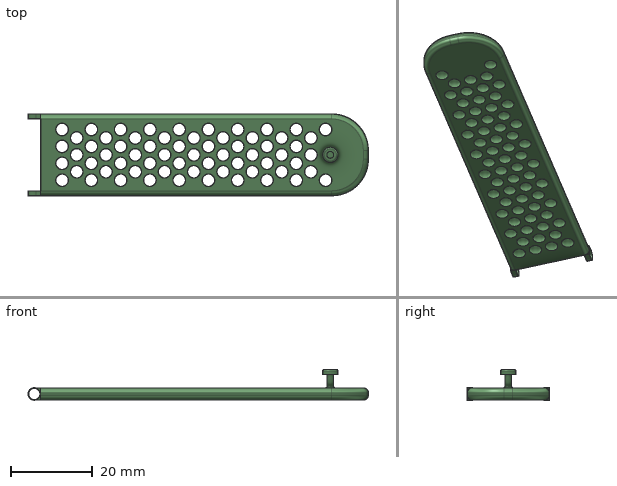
import cadquery as cq
import math

length = 83.1
width = 20.0
thickness = 3.0
edge_round = 1.25
corner_radius = 9.0

eye_diameter = 3.1
eye_bore_diameter = 2.75
eye_width = edge_round
eye_radius = eye_diameter / 2
eye_center_z = thickness / 2
plate_start_x = eye_diameter

hole_diameter = 3.0
column_pitch = 3.6
row_pitch = 2 * column_pitch / math.sqrt(3)
first_column_x = 8.3
column_count = 19
rows_in_even_column = 4
rows_in_odd_column = 3

post_x = 73.8
post_diameter = 1.7
post_height = 4.5
post_base_fillet = 0.3

knob_diameter = 3.7
knob_thickness = 1.25
knob_round = 0.37


def make_blank():
    """Flat bar with two large corner rounds and rounded long edges."""
    blank = (
        cq.Workplane("XY", origin=(plate_start_x, 0, 0))
        .box(length - plate_start_x, width, thickness, centered=(False, True, False))
        .edges("|Z and >X")
        .fillet(corner_radius)
    )
    return blank.faces(">Z or <Z").edges("not <X").fillet(edge_round)


def make_eye(start_y):
    """Ring joined to the plate end by a web, occupying eye_width from start_y toward +Y."""
    plane = cq.Workplane("XZ", origin=(eye_radius, start_y, eye_center_z))
    ring = plane.circle(eye_radius).extrude(-eye_width)
    web = plane.rect(plate_start_x - eye_radius, thickness, centered=(False, True)).extrude(-eye_width)
    bore = plane.circle(eye_bore_diameter / 2).extrude(-eye_width)
    return ring.union(web).cut(bore)


def hole_points():
    """Hole centers; the last column keeps only its outer holes, to clear the post."""
    points = []
    for column in range(column_count):
        x = first_column_x + column * column_pitch
        rows = rows_in_even_column if column % 2 == 0 else rows_in_odd_column
        is_last_column = column == column_count - 1
        for row in range(rows):
            is_outer_row = row in (0, rows - 1)
            if is_last_column and not is_outer_row:
                continue
            points.append((x, (row - (rows - 1) / 2) * row_pitch))
    return points


def make_post():
    """Post with a concave flare at its foot, turned about its own axis."""
    radius = post_diameter / 2
    foot_radius = radius + post_base_fillet
    arc_offset = post_base_fillet * (1 - math.sqrt(0.5))
    return (
        cq.Workplane("XZ", origin=(post_x, 0, thickness))
        .lineTo(foot_radius, 0)
        .threePointArc((radius + arc_offset, arc_offset), (radius, post_base_fillet))
        .lineTo(radius, post_height)
        .lineTo(0, post_height)
        .close()
        .revolve()
    )


def make_cover():
    """Perforated plate with its hinge eyes and post."""
    holes = cq.Workplane("XY").pushPoints(hole_points()).circle(hole_diameter / 2).extrude(thickness)
    cover = make_blank().cut(holes)
    for start_y in (-width / 2, width / 2 - eye_width):
        cover = cover.union(make_eye(start_y))
    return cover.union(make_post())


def make_knob():
    """Round-edged disc with a through bore for the post."""
    bottom_z = thickness + post_height - knob_thickness
    plane = cq.Workplane("XY", origin=(post_x, 0, bottom_z))
    disc = plane.circle(knob_diameter / 2).extrude(knob_thickness).faces(">Z").edges().fillet(knob_round)
    bore = plane.circle(post_diameter / 2).extrude(knob_thickness)
    return disc.cut(bore)


cover = make_cover()
knob = make_knob()
result = cq.Compound.makeCompound([cover.solids().val(), knob.solids().val()])